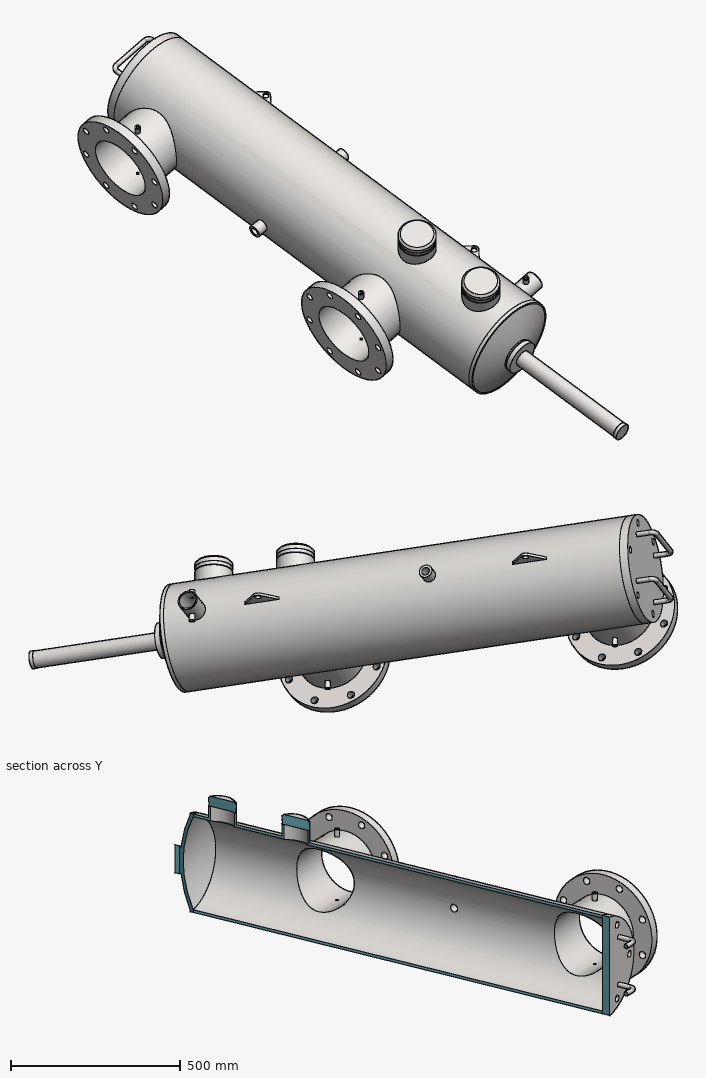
import cadquery as cq
import math


vessel_diameter = 323.0
vessel_radius = vessel_diameter / 2
wall = 10.0
inner_radius = vessel_radius - wall
cover_thickness = 25.0
shell_end = 1452.0

cover_bolt_count = 6
cover_bolt_circle_radius = 137.0
cover_bolt_diameter = 20.0

handle_diameter = 14.9
handle_reach = 63.0
handle_leg_spacing = 155.0
handle_spacing = 153.0
handle_bend_radius = 15.0

head_skirt = 12.0
dome_rim_radius = 157.0
dome_height = 35.0
collar_radius = 52.0
collar_end = 1501.0

rod_flange_radius = 54.0
rod_flange_end = 1517.0
rod_diameter = 52.0
rod_end = 1920.0
rod_tip_diameter = 54.0
rod_tip_length = 12.0

nozzle_positions = [170.0, 1069.0]
nozzle_diameter = 212.0
nozzle_bore_diameter = 200.0
nozzle_reach = 291.0
flange_radius = 170.0
flange_thickness = 30.0
flange_bolt_count = 8
flange_bolt_circle_radius = 149.0
flange_bolt_diameter = 22.0
nozzle_tapping_diameter = 15.0
nozzle_tapping_reach = 129.0
nozzle_tapping_y = -216.0
nozzle_tapping_bore = 8.0

riser_positions = [1095.0, 1350.0]
riser_diameter = 113.0
riser_radius = riser_diameter / 2
riser_bore_radius = 50.0
riser_top = 196.0
cap_top = 230.0
cap_chamfer = 7.0
groove_width = 12.0
groove_depth = 1.0
groove_rim = 2.0
groove_bottom = riser_top + groove_rim

branch_x = riser_positions[1]
branch_radius = 30.0
branch_bore_radius = 25.0
branch_reach = 235.0
branch_tapping_diameter = 18.0
branch_tapping_reach = 50.0
branch_tapping_y = 196.0
branch_tapping_bore = 10.0

socket_x = 620.0
socket_radius = 20.0
socket_bore_radius = 12.0
socket_reach = 195.0

lug_positions = [307.0, 1145.0]
lug_thickness = 8.0
lug_eye_radius = 9.0
lug_tip_radius = 14.0
lug_eye_y = vessel_radius + 34.0


def cylinder_x(radius, start, end):
    return cq.Workplane("YZ", origin=(start, 0, 0)).circle(radius).extrude(end - start)


def cylinder_y(radius, x, start, end):
    return cq.Workplane("XZ", origin=(x, start, 0)).circle(radius).extrude(start - end)


def cylinder_z(radius, x, y, start, end):
    return cq.Workplane("XY", origin=(x, y, start)).circle(radius).extrude(end - start)


def make_tapping(diameter, x, y, reach):
    """Vertical round bar that sticks out above and below a pipe."""
    return cylinder_z(diameter / 2, x, y, -reach, reach)


def make_nozzle(x):
    """Pipe with an end flange and two small tappings, from the vessel axis toward -Y."""
    flange_back = flange_thickness - nozzle_reach
    nozzle = cylinder_y(nozzle_diameter / 2, x, 0, flange_back)
    nozzle = nozzle.union(cylinder_y(flange_radius, x, flange_back, -nozzle_reach))
    tapping = make_tapping(nozzle_tapping_diameter, x, nozzle_tapping_y, nozzle_tapping_reach)
    bolt_holes = (
        cq.Workplane("XZ", origin=(x, flange_back, 0))
        .polarArray(flange_bolt_circle_radius, 180 / flange_bolt_count, 360, flange_bolt_count)
        .circle(flange_bolt_diameter / 2)
        .extrude(flange_thickness)
    )
    return nozzle.union(tapping).cut(bolt_holes)


def make_branch():
    """Plain pipe toward +Y with a small tapping above and below."""
    pipe = cylinder_y(branch_radius, branch_x, 0, branch_reach)
    return pipe.union(
        make_tapping(branch_tapping_diameter, branch_x, branch_tapping_y, branch_tapping_reach)
    )


def make_lug(x):
    """Triangular plate with a rounded tip around its eye and 45 degree sides."""
    tangent = lug_tip_radius * math.sqrt(0.5)
    tangent_y = lug_eye_y + tangent
    root_y = vessel_radius - wall / 2
    root_half_width = tangent + tangent_y - root_y
    return (
        cq.Workplane("XY", origin=(x, 0, -lug_thickness / 2))
        .moveTo(-root_half_width, root_y)
        .lineTo(-tangent, tangent_y)
        .threePointArc((0, lug_eye_y + lug_tip_radius), (tangent, tangent_y))
        .lineTo(root_half_width, root_y)
        .close()
        .moveTo(0, lug_eye_y)
        .circle(lug_eye_radius)
        .extrude(lug_thickness)
    )


def make_shell():
    """Tube with its nozzles, risers, branch, sockets and lugs, all bored into the inside."""
    shell = cylinder_x(vessel_radius, cover_thickness, shell_end)
    for x in nozzle_positions:
        shell = shell.union(make_nozzle(x))
    for x in riser_positions:
        shell = shell.union(cylinder_z(riser_radius, x, 0, 0, riser_top))
    shell = shell.union(make_branch())
    shell = shell.union(cylinder_y(socket_radius, socket_x, -socket_reach, socket_reach))

    shell = shell.cut(cylinder_x(inner_radius, cover_thickness, shell_end))
    for x in nozzle_positions:
        shell = shell.cut(cylinder_y(nozzle_bore_diameter / 2, x, 0, -nozzle_reach))
        shell = shell.cut(make_tapping(nozzle_tapping_bore, x, nozzle_tapping_y, nozzle_tapping_reach))
    for x in riser_positions:
        shell = shell.cut(cylinder_z(riser_bore_radius, x, 0, 0, riser_top))
    shell = shell.cut(cylinder_y(branch_bore_radius, branch_x, 0, branch_reach))
    shell = shell.cut(make_tapping(branch_tapping_bore, branch_x, branch_tapping_y, branch_tapping_reach))
    shell = shell.cut(cylinder_y(socket_bore_radius, socket_x, -socket_reach, socket_reach))

    for x in lug_positions:
        shell = shell.union(make_lug(x))
    return shell


def make_cover():
    """Flat end plate with a ring of through bolt holes."""
    bolt_holes = (
        cq.Workplane("YZ")
        .polarArray(cover_bolt_circle_radius, 0, 360, cover_bolt_count)
        .circle(cover_bolt_diameter / 2)
        .extrude(cover_thickness)
    )
    return cylinder_x(vessel_radius, 0, cover_thickness).cut(bolt_holes)


def make_handle(z):
    """Round bar bent to a U, with both feet on the cover."""
    bar_x = handle_diameter / 2 - handle_reach
    leg_y = handle_leg_spacing / 2
    bend_x = bar_x + handle_bend_radius
    bend_y = leg_y - handle_bend_radius
    bend_offset = handle_bend_radius * (1 - math.sqrt(0.5))
    path = (
        cq.Workplane("XY", origin=(0, 0, z))
        .moveTo(0, leg_y)
        .lineTo(bend_x, leg_y)
        .threePointArc((bar_x + bend_offset, leg_y - bend_offset), (bar_x, bend_y))
        .lineTo(bar_x, -bend_y)
        .threePointArc((bar_x + bend_offset, bend_offset - leg_y), (bend_x, -leg_y))
        .lineTo(0, -leg_y)
    )
    return cq.Workplane("YZ", origin=(0, leg_y, z)).circle(handle_diameter / 2).sweep(path)


def ball_radius(rim_radius, height):
    """Radius of the sphere whose cap has the given rim radius and height."""
    return (rim_radius**2 + height**2) / (2 * height)


def dome_x(apex, ball, radius):
    """X of the point on a dome at the given distance from the axis."""
    return apex - ball + math.sqrt(ball**2 - radius**2)


def make_head():
    """Hollow dished end with a straight skirt and a collar that closes its centre."""
    skirt_end = shell_end + head_skirt
    apex = skirt_end + dome_height
    outer_ball = ball_radius(dome_rim_radius, dome_height)
    inner_ball = ball_radius(inner_radius, dome_height)

    inner_apex = shell_end + dome_height
    collar_root = dome_x(apex, outer_ball, collar_radius)
    outer_middle_radius = (dome_rim_radius + collar_radius) / 2
    outer_middle = dome_x(apex, outer_ball, outer_middle_radius)
    inner_middle_radius = inner_radius / 2
    inner_middle = dome_x(inner_apex, inner_ball, inner_middle_radius)
    return (
        cq.Workplane("XY")
        .moveTo(shell_end, inner_radius)
        .lineTo(shell_end, vessel_radius)
        .lineTo(skirt_end, vessel_radius)
        .lineTo(skirt_end, dome_rim_radius)
        .threePointArc((outer_middle, outer_middle_radius), (collar_root, collar_radius))
        .lineTo(collar_end, collar_radius)
        .lineTo(collar_end, 0)
        .lineTo(inner_apex, 0)
        .threePointArc((inner_middle, inner_middle_radius), (shell_end, inner_radius))
        .close()
        .revolve(360, (0, 0, 0), (1, 0, 0))
    )


def make_rod():
    """Rod with a flange against the collar and a slightly thicker tip."""
    rod = cylinder_x(rod_flange_radius, collar_end, rod_flange_end)
    rod = rod.union(cylinder_x(rod_diameter / 2, rod_flange_end, rod_end))
    return rod.union(cylinder_x(rod_tip_diameter / 2, rod_end - rod_tip_length, rod_end))


def make_cap(x):
    """Round cap with a chamfered top edge and a shallow groove."""
    cap = cylinder_z(riser_radius, x, 0, riser_top, cap_top).faces(">Z").chamfer(cap_chamfer)
    groove_top = groove_bottom + groove_width
    groove = cylinder_z(riser_radius, x, 0, groove_bottom, groove_top)
    groove = groove.cut(cylinder_z(riser_radius - groove_depth, x, 0, groove_bottom, groove_top))
    return cap.cut(groove)


shell = make_shell()
cover = make_cover()
head = make_head()
rod = make_rod()
handles = [make_handle(z) for z in (-handle_spacing / 2, handle_spacing / 2)]
caps = [make_cap(x) for x in riser_positions]

result = cq.Compound.makeCompound(
    [shell.val(), cover.val(), head.val(), rod.val()]
    + [handle.val() for handle in handles]
    + [cap.val() for cap in caps]
)